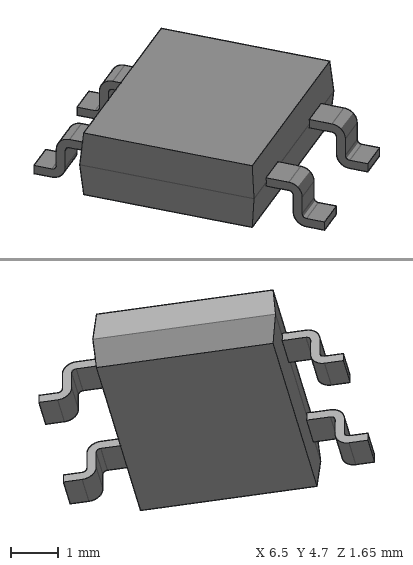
import cadquery as cq
import math

body_length_x = 3.9
body_length_y = 4.7
body_height = 1.5
draft_angle = 5.0
standoff = 0.15

lead_span = 6.5
lead_width = 0.7
lead_thickness = 0.2
lead_pitch = 2.54
foot_flat = 0.4
inner_bend_radius = 0.1
embed_depth = 0.195

half_height = body_height / 2
parting_z = standoff + half_height
outer_bend_radius = inner_bend_radius + lead_thickness


def make_body():
    """Two drafted halves joined on the parting plane."""
    parting = cq.Workplane("XY").workplane(offset=parting_z).rect(body_length_x, body_length_y)
    upper_half = parting.extrude(half_height, taper=draft_angle)
    lower_half = upper_half.mirror("XY", (0, 0, parting_z))
    return upper_half.union(lower_half)


def make_left_lead(center_y):
    """S-shaped strip on the -X side, running from the toe up into the body."""
    toe_x = -lead_span / 2
    foot_bend_x = toe_x + foot_flat
    riser_outer_x = foot_bend_x + inner_bend_radius
    riser_inner_x = riser_outer_x + lead_thickness
    shoulder_x = riser_outer_x + outer_bend_radius
    end_x = -body_length_x / 2 + embed_depth

    foot_top_z = lead_thickness
    riser_start_z = outer_bend_radius
    shoulder_top_z = parting_z + lead_thickness / 2
    shoulder_bottom_z = shoulder_top_z - lead_thickness
    riser_end_z = shoulder_top_z - outer_bend_radius

    inner_mid = inner_bend_radius * math.sqrt(0.5)
    outer_mid = outer_bend_radius * math.sqrt(0.5)

    profile = (
        cq.Workplane("XZ", origin=(0, center_y + lead_width / 2, 0))
        .moveTo(toe_x, 0)
        .lineTo(foot_bend_x, 0)
        .threePointArc(
            (foot_bend_x + outer_mid, riser_start_z - outer_mid),
            (riser_inner_x, riser_start_z),
        )
        .lineTo(riser_inner_x, riser_end_z)
        .threePointArc(
            (shoulder_x - inner_mid, riser_end_z + inner_mid),
            (shoulder_x, shoulder_bottom_z),
        )
        .lineTo(end_x, shoulder_bottom_z)
        .lineTo(end_x, shoulder_top_z)
        .lineTo(shoulder_x, shoulder_top_z)
        .threePointArc(
            (shoulder_x - outer_mid, riser_end_z + outer_mid),
            (riser_outer_x, riser_end_z),
        )
        .lineTo(riser_outer_x, riser_start_z)
        .threePointArc(
            (foot_bend_x + inner_mid, riser_start_z - inner_mid),
            (foot_bend_x, foot_top_z),
        )
        .lineTo(toe_x, foot_top_z)
        .close()
    )
    return profile.extrude(lead_width)


result = make_body()
for center_y in (-lead_pitch / 2, lead_pitch / 2):
    left_lead = make_left_lead(center_y)
    right_lead = left_lead.mirror("YZ")
    result = result.union(left_lead).union(right_lead)